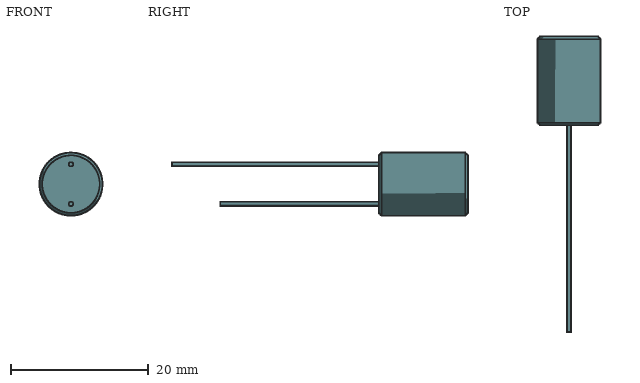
import cadquery as cq

total_length = 43.0
body_diameter = 9.2
body_length = 13.0
edge_chamfer = 0.45

lead_diameter = 0.65
lead_spacing = 5.75
long_lead_length = total_length - body_length
short_lead_length = 23.0


def make_body():
    """Cylindrical can from the lead face at Y = 0 to +Y, chamfered at both rims."""
    can = cq.Workplane("XZ").circle(body_diameter / 2).extrude(-body_length)
    return can.edges().chamfer(edge_chamfer)


def make_lead(height, length):
    """Round wire leaving the lead face toward -Y at the given Z height."""
    return cq.Workplane("XZ").center(0, height).circle(lead_diameter / 2).extrude(length)


upper_lead = make_lead(lead_spacing / 2, long_lead_length)
lower_lead = make_lead(-lead_spacing / 2, short_lead_length)

result = make_body().union(upper_lead).union(lower_lead)